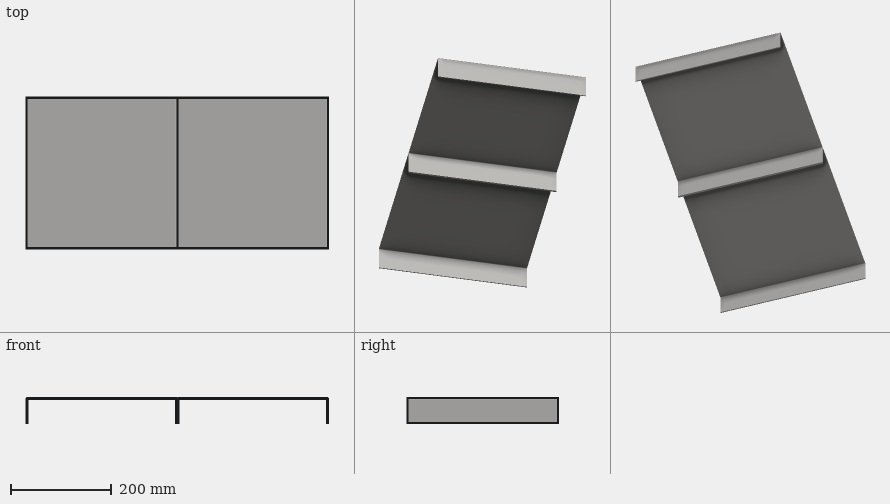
import cadquery as cq

cover_width = 300.0
cover_depth = 300.0
cover_height = 50.0
sheet_thickness = 2.0
inner_bend_radius = 2.0
cover_count = 2

outer_bend_radius = inner_bend_radius + sheet_thickness
total_width = cover_count * cover_width


def make_cover(center_x):
    """Sheet bent into a downward-open channel: a flat top with a flange down each X side."""
    inner_width = cover_width - 2 * sheet_thickness
    inner_height = cover_height - sheet_thickness
    block = (
        cq.Workplane("XY")
        .box(cover_width, cover_depth, cover_height, centered=(True, True, False))
        .edges("|Y and >Z")
        .fillet(outer_bend_radius)
    )
    hollow = (
        cq.Workplane("XY")
        .box(inner_width, cover_depth, inner_height, centered=(True, True, False))
        .edges("|Y and >Z")
        .fillet(inner_bend_radius)
    )
    return block.cut(hollow).translate((center_x, 0, 0))


covers = []
for index in range(cover_count):
    center_x = (index + 0.5) * cover_width - total_width / 2
    covers.append(make_cover(center_x))

result = cq.Compound.makeCompound([cover.val() for cover in covers])